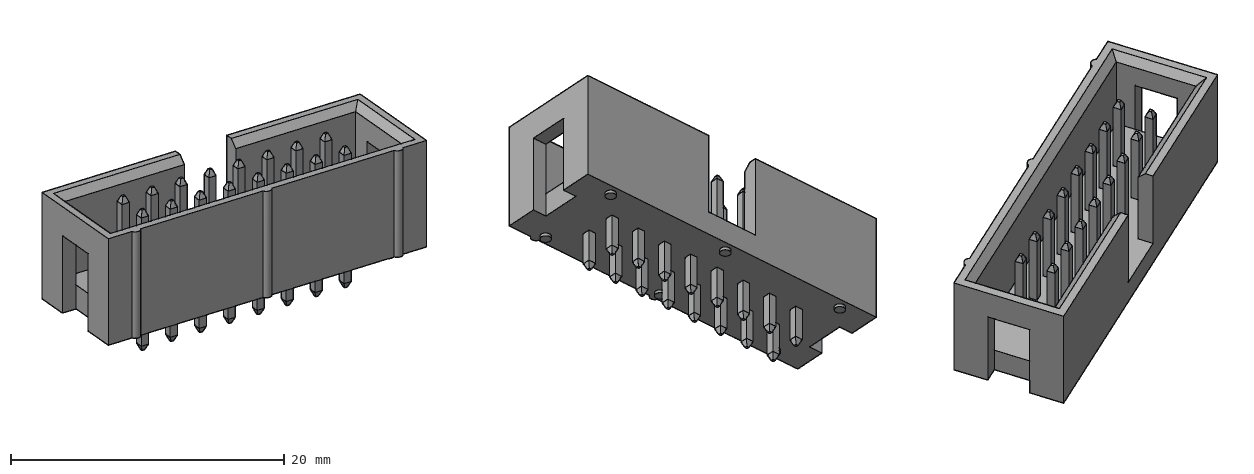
import cadquery as cq


length_y = 27.98
overall_width_x = 9.05
rib_protrusion = 0.25
width_x = overall_width_x - rib_protrusion
height = 8.8
wall = 1.2
floor_thickness = 2.0
rim_chamfer = 0.6

key_slot_width = 4.5
end_slot_width = 3.35
end_slot_height = 6.4

pin_rows = 2
pins_per_row = 8
pin_pitch = 2.55
pin_side = 0.65
pin_tip_side = 0.22
pin_taper = 0.5
pin_drop = 3.2
pin_recess = 0.4
pin_top = height - pin_recess

round_diameter = 0.85
rib_spacing = 11.53
standoff_height = 0.25
standoff_spacing_x = 7.27
standoff_spacing_y = 11.1


def block(size_x, size_y, size_z, base_z):
    """Box centred on X and Y, standing on base_z."""
    return (
        cq.Workplane("XY")
        .workplane(offset=base_z)
        .box(size_x, size_y, size_z, centered=(True, True, False))
    )


def make_cavity():
    """Pocket inside the walls, flared at 45 degrees around the rim."""
    inner_x = width_x - 2 * wall
    inner_y = length_y - 2 * wall
    pocket = block(inner_x, inner_y, height - floor_thickness, floor_thickness)
    flare = (
        cq.Workplane("XY")
        .workplane(offset=height - rim_chamfer)
        .rect(inner_x, inner_y)
        .workplane(offset=rim_chamfer)
        .rect(inner_x + 2 * rim_chamfer, inner_y + 2 * rim_chamfer)
        .loft(ruled=True)
    )
    return pocket.union(flare)


def make_housing():
    housing = block(width_x, length_y, height, 0).cut(make_cavity())

    key_slot = block(wall, key_slot_width, height - floor_thickness, floor_thickness)
    housing = housing.cut(key_slot.translate(((wall - width_x) / 2, 0, 0)))

    end_slot = block(end_slot_width, wall, end_slot_height, 0)
    for side in (-1, 1):
        housing = housing.cut(end_slot.translate((0, side * (length_y - wall) / 2, 0)))
    return housing


def make_ribs():
    """Full-height round ribs, partly sunk into the +X wall."""
    center_x = width_x / 2 + rib_protrusion - round_diameter / 2
    return (
        cq.Workplane("XY")
        .pushPoints([(center_x, step * rib_spacing) for step in (-1, 0, 1)])
        .circle(round_diameter / 2)
        .extrude(height)
    )


def make_standoffs():
    return (
        cq.Workplane("XY")
        .rarray(standoff_spacing_x, standoff_spacing_y, 2, 3)
        .circle(round_diameter / 2)
        .extrude(-standoff_height)
    )


def make_pin():
    """Square pin with a tapered tip at each end."""
    shank_bottom = pin_taper - pin_drop
    shank_top = pin_top - pin_taper
    pin = block(pin_side, pin_side, shank_top - shank_bottom, shank_bottom)
    for shoulder, tip_offset in ((shank_top, pin_taper), (shank_bottom, -pin_taper)):
        tip = (
            cq.Workplane("XY")
            .workplane(offset=shoulder)
            .rect(pin_side, pin_side)
            .workplane(offset=tip_offset)
            .rect(pin_tip_side, pin_tip_side)
            .loft(ruled=True)
        )
        pin = pin.union(tip)
    return pin


result = make_housing().union(make_ribs()).union(make_standoffs())

single_pin = make_pin()
for row in range(pin_rows):
    for column in range(pins_per_row):
        pin_x = (row - (pin_rows - 1) / 2) * pin_pitch
        pin_y = (column - (pins_per_row - 1) / 2) * pin_pitch
        result = result.union(single_pin.translate((pin_x, pin_y, 0)))